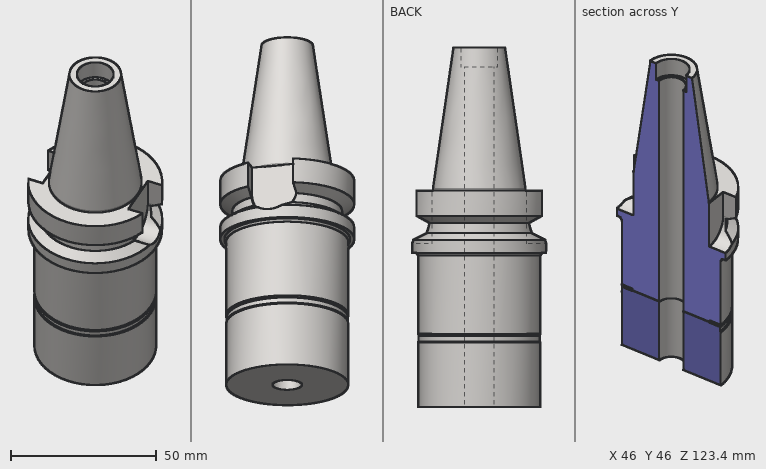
import cadquery as cq

TOTAL_HEIGHT = 123.4
FLANGE_RADIUS = 23.01
BODY_RADIUS = 21.0
NECK_RADIUS = 16.4

NUT_TOP = 24.4
BODY_BOTTOM = 25.2
BODY_TOP = 52.0
FLANGE_BOTTOM = 53.0
FLANGE_TOP = 74.3
TAPER_START = 75.0

TAPER_LARGE_RADIUS = 15.9
TAPER_SMALL_RADIUS = 8.9

GROOVE_LOWER_EDGE = 57.4
GROOVE_FLOOR_BOTTOM = 59.7
GROOVE_FLOOR_TOP = 63.2
GROOVE_UPPER_EDGE = 65.6
GROOVE_BOTTOM_RADIUS = 19.3
GROOVE_TOP_RADIUS = 18.9

FLANGE_FOOT_RADIUS = 21.6

SLOT_WIDTH = 16.0
SLOT_FLOOR_X = 16.2
SLOT_LOWEST_POINT = 56.1

BORE_RADIUS = 5.0
COUNTERBORE_RADIUS = 6.3
COUNTERBORE_DEPTH = 6.8

NUT_RIM_BOTTOM = 22.6
NUT_RIM_STEP = 0.1
NUT_RIM_RADIUS = BODY_RADIUS - NUT_RIM_STEP
NUT_BEVEL_HEIGHT = 0.4


def revolve_profile(points):
    """Turn a closed (radius, height) outline around the Z axis."""
    return cq.Workplane("XZ").polyline(points).close().revolve(360, (0, 0), (0, 1))


def make_drive_slot(side):
    """Cutter for one round-bottomed drive slot; side is -1 or +1 along X."""
    slot_radius = SLOT_WIDTH / 2
    arc_center = SLOT_LOWEST_POINT + slot_radius
    outline = (
        cq.Workplane("YZ", origin=(side * SLOT_FLOOR_X, 0, 0))
        .moveTo(-slot_radius, FLANGE_TOP)
        .lineTo(-slot_radius, arc_center)
        .threePointArc((0, SLOT_LOWEST_POINT), (slot_radius, arc_center))
        .lineTo(slot_radius, FLANGE_TOP)
        .close()
    )
    return outline.extrude(side * FLANGE_RADIUS)


def make_holder():
    """Taper shank, grooved flange and cylindrical body, down to the neck on the nut."""
    counterbore_floor = TOTAL_HEIGHT - COUNTERBORE_DEPTH
    holder = revolve_profile([
        (BORE_RADIUS, NUT_TOP),
        (NECK_RADIUS, NUT_TOP),
        (NECK_RADIUS, BODY_BOTTOM),
        (BODY_RADIUS, BODY_BOTTOM),
        (BODY_RADIUS, BODY_TOP),
        (FLANGE_FOOT_RADIUS, FLANGE_BOTTOM),
        (FLANGE_RADIUS, FLANGE_BOTTOM),
        (FLANGE_RADIUS, GROOVE_LOWER_EDGE),
        (GROOVE_BOTTOM_RADIUS, GROOVE_FLOOR_BOTTOM),
        (GROOVE_TOP_RADIUS, GROOVE_FLOOR_TOP),
        (FLANGE_RADIUS, GROOVE_UPPER_EDGE),
        (FLANGE_RADIUS, FLANGE_TOP),
        (TAPER_LARGE_RADIUS, FLANGE_TOP),
        (TAPER_LARGE_RADIUS, TAPER_START),
        (TAPER_SMALL_RADIUS, TOTAL_HEIGHT),
        (COUNTERBORE_RADIUS, TOTAL_HEIGHT),
        (COUNTERBORE_RADIUS, counterbore_floor),
        (BORE_RADIUS, counterbore_floor),
    ])
    for side in (-1, 1):
        holder = holder.cut(make_drive_slot(side))
    return holder


def make_nut():
    """Clamping nut with a thinner rim, bored through like the holder."""
    return revolve_profile([
        (BORE_RADIUS, 0),
        (BODY_RADIUS, 0),
        (BODY_RADIUS, NUT_RIM_BOTTOM - NUT_BEVEL_HEIGHT),
        (NUT_RIM_RADIUS, NUT_RIM_BOTTOM),
        (NUT_RIM_RADIUS, NUT_TOP),
        (BORE_RADIUS, NUT_TOP),
    ])


holder = make_holder()
nut = make_nut()

result = cq.Compound.makeCompound([holder.val(), nut.val()])